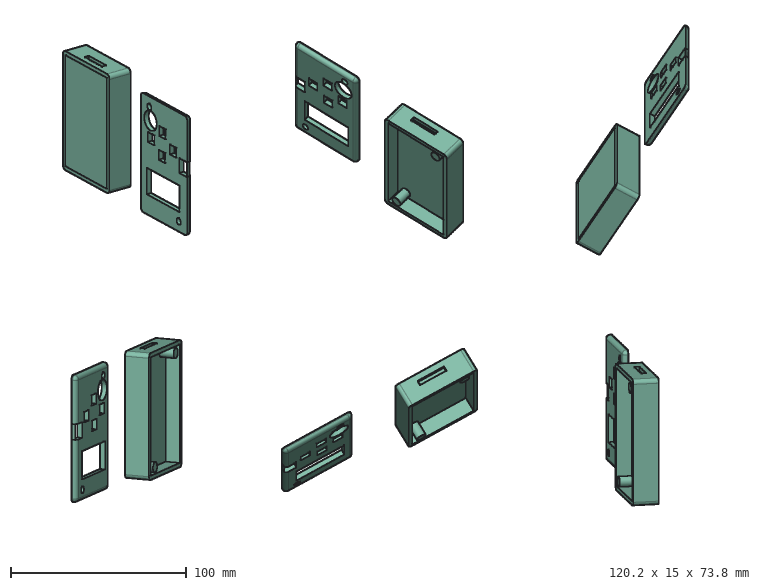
import cadquery as cq

total_length = 120.2
case_width = 45.2
case_height = 73.8
case_depth = 15.0
wall = 2.5
corner_radius = 2.5

base_thickness = 6.1
post_diameter = 6.0

slot_length = 17.2
slot_width = 2.9
slot_center_x = 24.2
slot_center_y = 5.4

lid_x = total_length - case_width
lid_y = 0.5
lid_edge = 0.7
lid_thickness = lid_edge + corner_radius
screw_hole_diameter = 4.0
round_window_diameter = 12.0
round_window_center = (9.4, 59.2)
button_size = 6.1
button_centers = [(20.8, 55.8), (10.0, 48.2), (31.4, 48.0), (20.5, 40.9)]
switch_width = 7.3
switch_height = 9.1
switch_center = (41.0, 41.1)
screen_width = 31.6
screen_height = 16.4
screen_center = (21.6, 20.6)

screw_centers = [(8.3, 67.3), (36.8, 6.4)]


def face_plane():
    """Plane of the front face whose normal points to +Y, for shapes drawn in (-x, z)."""
    return cq.Workplane(cq.Plane((0, 0, 0), xDir=(-1, 0, 0), normal=(0, 1, 0)))


def block(width, height, depth, center):
    """Box standing on the front plane, centered on an (x, z) point."""
    x, z = center
    return face_plane().center(-x, z).rect(width, height).extrude(depth)


def cylinders(diameter, depth, centers):
    """Cylinders along Y, standing on the front plane at (x, z) points."""
    points = [(-x, z) for x, z in centers]
    return face_plane().pushPoints(points).circle(diameter / 2).extrude(depth)


def rounded_block(depth):
    """Outline of the case with rounded corners."""
    center = (case_width / 2, case_height / 2)
    return block(case_width, case_height, depth, center).edges("|Y").fillet(corner_radius)


def opening(depth):
    """Space inside the four case walls."""
    center = (case_width / 2, case_height / 2)
    return block(case_width - 2 * wall, case_height - 2 * wall, depth, center)


def make_housing():
    """Four walls, with a card slot through the top one."""
    slot = (
        cq.Workplane("XY", origin=(slot_center_x, slot_center_y, case_height - wall))
        .rect(slot_length, slot_width)
        .extrude(wall)
    )
    return rounded_block(case_depth).cut(opening(case_depth)).cut(slot)


def make_base():
    """Floor between the walls, with screw posts that reach the rim of the case."""
    posts = cylinders(post_diameter, case_depth, screw_centers)
    return opening(base_thickness).union(posts)


def make_lid():
    """Plate with a rounded outer edge, screw holes and windows."""
    lid = rounded_block(lid_thickness).faces(">Y").edges().fillet(corner_radius)
    lid = lid.cut(cylinders(screw_hole_diameter, lid_thickness, screw_centers))
    lid = lid.cut(cylinders(round_window_diameter, lid_thickness, [round_window_center]))
    for center in button_centers:
        lid = lid.cut(block(button_size, button_size, lid_thickness, center))
    lid = lid.cut(block(switch_width, switch_height, lid_thickness, switch_center))
    lid = lid.cut(block(screen_width, screen_height, lid_thickness, screen_center))
    return lid.translate((lid_x, lid_y, 0))


housing = make_housing()
base = make_base()
lid = make_lid()
result = cq.Compound.makeCompound([housing.val(), base.val(), lid.val()])